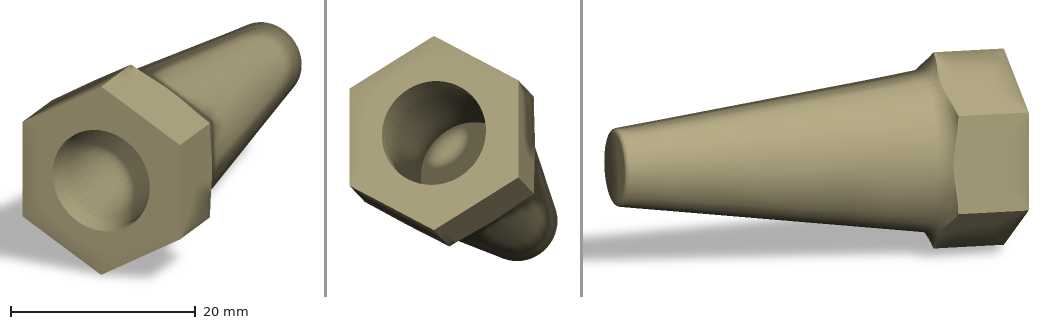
import cadquery as cq
import math

length = 44.0
across_flats = 18.7
hex_height = 7.95
root_radius = 8.75
tip_radius = 4.22
flare_radius = 2.0
tip_fillet = 0.5
bore_diameter = 11.55
bore_depth = 20.0

across_corners = across_flats / math.cos(math.radians(30))
flare_center_y = hex_height + flare_radius
taper_slope = (root_radius - tip_radius) / (length - flare_center_y)
taper = math.atan(taper_slope)
root_y = flare_center_y - flare_radius * math.sin(taper)
flare_center_r = root_radius + flare_radius * math.cos(taper)


def make_turned_body():
    """Revolve a base disc wider than the hexagon, the flare and the cone."""
    mid_angle = (math.pi + taper + 1.5 * math.pi) / 2
    flare_middle = (
        flare_center_r + flare_radius * math.cos(mid_angle),
        flare_center_y + flare_radius * math.sin(mid_angle),
    )
    body = (
        cq.Workplane("XY")
        .moveTo(0, 0)
        .lineTo(across_corners, 0)
        .lineTo(across_corners, hex_height)
        .lineTo(flare_center_r, hex_height)
        .threePointArc(flare_middle, (root_radius, root_y))
        .lineTo(tip_radius, length)
        .lineTo(0, length)
        .close()
        .revolve(360, (0, 0, 0), (0, 1, 0))
    )
    return body.faces(">Y").edges().fillet(tip_fillet)


def make_hex_prism():
    """Full-length hexagonal envelope with flats on X and corners on Z."""
    return (
        cq.Workplane("XZ")
        .transformed(rotate=(0, 0, 90))
        .polygon(6, across_corners)
        .extrude(-length)
    )


def make_bore():
    return cq.Workplane("XZ").circle(bore_diameter / 2).extrude(-bore_depth)


result = make_turned_body().intersect(make_hex_prism()).cut(make_bore())